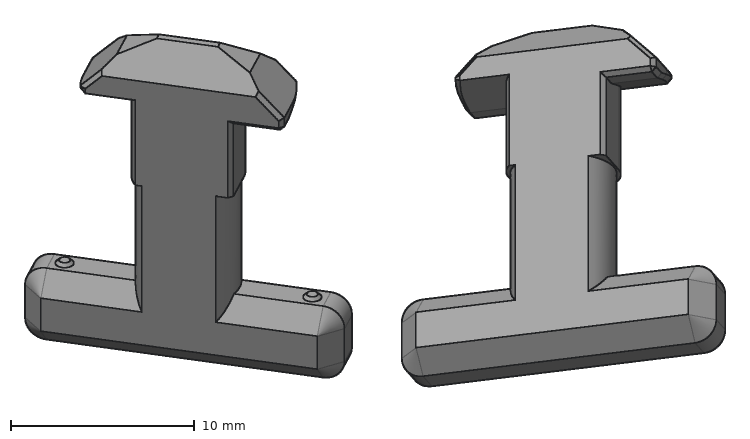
import cadquery as cq
import math

height = 19.55
thickness = 4.0
half_thickness = thickness / 2
edge_chamfer = 0.25

base_length = 18.0
base_height = 4.5
base_bevel = 1.21
base_corner_radius = base_bevel + 0.002

pip_offset = 6.98
pip_radius = 0.5
pip_top_radius = 0.31
pip_height = pip_radius - pip_top_radius

lower_shank_radius = 2.9
lower_shank_top = 11.2
upper_shank_half_width = 3.01
upper_shank_corner_radius = 2.37
upper_shank_flat_end = -0.47

head_bottom = 15.78
head_radius = 5.88
head_shoulder_z = 16.58
head_ridge_half_length = 1.72
head_ridge_half_width = 0.23
head_knee_x = 3.75
head_knee_z = head_shoulder_z + head_radius - head_knee_x
ramp_start_y = 0.82
ramp_angle = 15.0


def make_base():
    """Bar with rounded ends, bevelled all round on both broad faces."""
    return (
        cq.Workplane("XY")
        .box(base_length, thickness, base_height, centered=(True, True, False))
        .edges("|Y")
        .fillet(base_corner_radius)
        .faces("<Y or >Y")
        .chamfer(base_bevel)
    )


def make_pip(x):
    """Small truncated cone standing on the base bar."""
    cone = cq.Solid.makeCone(pip_radius, pip_top_radius, pip_height)
    return cone.translate(cq.Vector(x, 0, base_height))


def make_lower_shank():
    """Cylinder trimmed to the part thickness."""
    start = base_height / 2
    slab = cq.Workplane("XY").box(base_length, thickness, height, centered=(True, True, False))
    return (
        cq.Workplane("XY")
        .workplane(offset=start)
        .circle(lower_shank_radius)
        .extrude(lower_shank_top - start)
        .intersect(slab)
    )


def make_upper_shank_half():
    """The -X half: one chamfered corner and one large rounded corner."""
    side = -upper_shank_half_width
    arc_x = side + upper_shank_corner_radius
    arc_end_angle = math.asin((half_thickness + upper_shank_flat_end) / upper_shank_corner_radius)

    def arc_point(angle):
        return (
            arc_x - upper_shank_corner_radius * math.cos(angle),
            upper_shank_flat_end - upper_shank_corner_radius * math.sin(angle),
        )

    return (
        cq.Workplane("XY")
        .workplane(offset=lower_shank_top)
        .moveTo(0, half_thickness)
        .lineTo(side + edge_chamfer, half_thickness)
        .lineTo(side, half_thickness - edge_chamfer)
        .lineTo(side, upper_shank_flat_end)
        .threePointArc(arc_point(arc_end_angle / 2), arc_point(arc_end_angle))
        .lineTo(0, -half_thickness)
        .close()
        .extrude(head_shoulder_z + edge_chamfer - lower_shank_top)
    )


def make_head_half():
    """The -X half: faceted roof, end rounded on the -Y side, underside ramped up toward -Y."""
    lengthwise = (
        cq.Workplane("XZ")
        .polyline([
            (0, head_bottom),
            (-head_radius, head_bottom),
            (-head_radius, head_shoulder_z),
            (-head_knee_x, head_knee_z),
            (-head_ridge_half_length, height),
            (0, height),
        ])
        .close()
        .extrude(half_thickness, both=True)
    )
    eave_z = height - (half_thickness - head_ridge_half_width)
    ramp_rise = (ramp_start_y + half_thickness) * math.tan(math.radians(ramp_angle))
    crosswise = (
        cq.Workplane("YZ")
        .polyline([
            (half_thickness, head_bottom),
            (half_thickness, eave_z),
            (head_ridge_half_width, height),
            (-head_ridge_half_width, height),
            (-half_thickness, eave_z),
            (-half_thickness, head_bottom + ramp_rise),
            (ramp_start_y, head_bottom),
        ])
        .close()
        .extrude(-head_radius)
    )
    arc_middle = head_radius * math.sqrt(0.5)
    plan = (
        cq.Workplane("XY")
        .moveTo(0, half_thickness)
        .lineTo(-head_radius, half_thickness)
        .lineTo(-head_radius, 0)
        .threePointArc((-arc_middle, -arc_middle), (0, -head_radius))
        .close()
        .extrude(height)
    )
    blank = lengthwise.intersect(crosswise).intersect(plan)
    return chamfer_head(blank)


def chamfer_head(blank):
    """Break the end edges of both broad faces and the underside rim, leaving the ramp's -Y edge sharp."""
    end_zone = cq.selectors.BoxSelector(
        (-head_radius - edge_chamfer, -thickness, 0),
        (-head_knee_x - edge_chamfer, thickness, height),
    )
    below_shoulder = cq.selectors.BoxSelector(
        (-head_radius - edge_chamfer, -thickness, 0),
        (-head_knee_x, thickness, head_shoulder_z - edge_chamfer / 2),
    )
    broad_face_ends = blank.faces("<Y or >Y").edges(end_zone)
    underside_end = blank.edges(below_shoulder).edges("not |Z")
    underside_back = blank.faces("<Z").edges(">Y")
    rim = broad_face_ends.add(underside_end).add(underside_back)
    return blank.newObject(list(set(rim.vals()))).chamfer(edge_chamfer)


def with_half_turn(half):
    """Complete a -X half with its copy turned half way round Z."""
    return half.union(half.rotate((0, 0, 0), (0, 0, 1), 180))


result = (
    make_base()
    .union(make_lower_shank())
    .union(with_half_turn(make_upper_shank_half()))
    .union(with_half_turn(make_head_half()))
)
for pip_x in (-pip_offset, pip_offset):
    result = result.union(cq.Workplane(obj=make_pip(pip_x)))